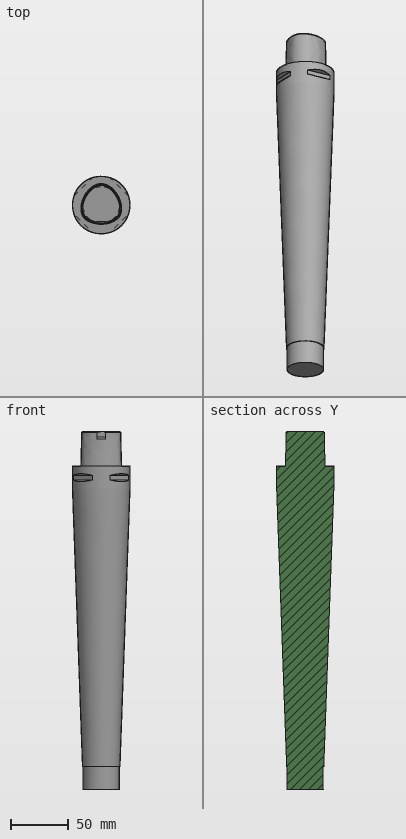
import cadquery as cq
import math

total_height = 310.0
shank_height = 30.0
flange_height = 19.8
nose_height = 20.0
flange_top = total_height - shank_height
flange_bottom = flange_top - flange_height

flange_diameter = 50.0
flange_radius = flange_diameter / 2
nose_diameter = 31.5
cone_end_diameter = 32.5

shank_base_width = 35.3
shank_taper = 1 / 20
lobe_height = 1.0
shank_chamfer = 1.0
outline_points = 36

slot_count = 4
slot_depth = 2.8
slot_floor_height = 3.7
slot_wall_angle = 30
slot_z = flange_bottom + flange_height / 2

notch_width = 7.0
notch_height = 5.0
notch_depth = 1.5


def shank_width(z):
    """Constant width of the tapered three-lobed outline at height z."""
    return shank_base_width - shank_taper * (z - flange_top)


def lobed_point(width, angle):
    """Point of a constant-width curve with support distance width / 2 + lobe_height * cos(3 * angle)."""
    radius = width / 2
    along = radius * math.cos(angle) + lobe_height * (2 * math.cos(2 * angle) - math.cos(4 * angle))
    across = radius * math.sin(angle) - lobe_height * (2 * math.sin(2 * angle) + math.sin(4 * angle))
    return -across, along


def lobed_outline(width, z):
    """Closed three-lobed wire at height z."""
    points = [lobed_point(width, 2 * math.pi * i / outline_points) for i in range(outline_points)]
    return cq.Workplane("XY", origin=(0, 0, z)).spline(points, periodic=True).close().val()


def make_body():
    """Nose, long cone and flange turned about Z."""
    profile = [
        (0, 0),
        (nose_diameter / 2, 0),
        (nose_diameter / 2, nose_height),
        (cone_end_diameter / 2, nose_height),
        (flange_radius, flange_bottom),
        (flange_radius, flange_top),
        (0, flange_top),
    ]
    return cq.Workplane("XZ").polyline(profile).close().revolve(360, (0, 0, 0), (0, 1, 0))


def make_shank():
    """Tapered lobed shank with a chamfered top edge."""
    chamfer_z = total_height - shank_chamfer
    top_width = shank_width(chamfer_z) - 2 * shank_chamfer
    base_outline = lobed_outline(shank_base_width, flange_top)
    shoulder_outline = lobed_outline(shank_width(chamfer_z), chamfer_z)
    top_outline = lobed_outline(top_width, total_height)
    taper = cq.Solid.makeLoft([base_outline, shoulder_outline], True)
    chamfer = cq.Solid.makeLoft([shoulder_outline, top_outline], True)
    return cq.Workplane(taper).union(cq.Workplane(chamfer))


def make_slot():
    """Straight slot with flared walls, cut into the +X side of the flange."""
    floor_x = flange_radius - slot_depth
    half_floor = slot_floor_height / 2
    half_mouth = half_floor + slot_depth * math.tan(math.radians(slot_wall_angle))
    profile = [
        (floor_x, slot_z - half_floor),
        (flange_radius, slot_z - half_mouth),
        (flange_radius, slot_z + half_mouth),
        (floor_x, slot_z + half_floor),
    ]
    return cq.Workplane("XZ").polyline(profile).close().extrude(flange_radius, both=True)


def make_notch():
    """Notch open at the top, with a 45 degree ramp at its lower end."""
    floor_y = -(shank_width(total_height) / 2 - lobe_height - notch_depth)
    outer_y = -flange_radius
    floor_z = total_height - notch_height
    profile = [
        (floor_y, total_height),
        (floor_y, floor_z),
        (outer_y, floor_z - (floor_y - outer_y)),
        (outer_y, total_height),
    ]
    return cq.Workplane("YZ").polyline(profile).close().extrude(notch_width / 2, both=True)


result = make_body().union(make_shank()).cut(make_notch())

slot = make_slot()
slot_pitch = 360 / slot_count
for index in range(slot_count):
    slot_angle = (index + 0.5) * slot_pitch
    result = result.cut(slot.rotate((0, 0, 0), (0, 0, 1), slot_angle))